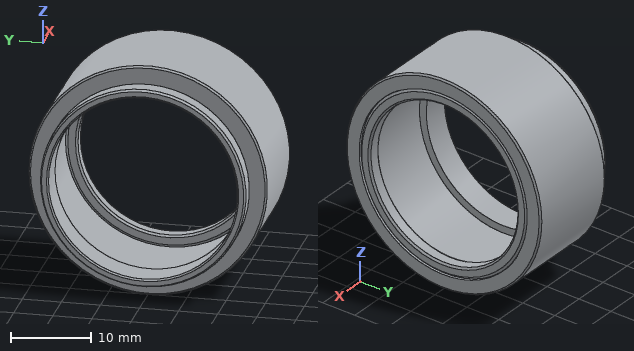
import cadquery as cq

length = 16.52
body_radius = 15.25
body_chamfer = 0.25
shoulder_x = 3.02

spigot_radius = 13.15
spigot_chamfer_length = 0.4
spigot_chamfer_depth = 0.2
spigot_length = 2.32
groove_radius = 12.68

mouth_radius = 12.07
mouth_chamfer = 0.2
mouth_length = 4.0
bore_radius = 13.15

ring_length = 2.0
ring_inner_radius = 11.5
ring_inner_chamfer = 0.27
ring_outer_chamfer = 0.4


def cylinder(radius, start_x, end_x):
    """Solid cylinder about the X axis between two axial positions."""
    return cq.Workplane("YZ", origin=(start_x, 0, 0)).circle(radius).extrude(end_x - start_x)


def make_housing():
    """Tube with a male spigot, a relief groove and a stepped through bore."""
    body = cylinder(body_radius, shoulder_x, length).faces("|X").edges().chamfer(body_chamfer)
    spigot_profile = [
        (0, 0),
        (0, spigot_radius - spigot_chamfer_depth),
        (spigot_chamfer_length, spigot_radius),
        (spigot_length, spigot_radius),
        (spigot_length, 0),
    ]
    spigot = cq.Workplane("XY").polyline(spigot_profile).close().revolve(360, (0, 0, 0), (1, 0, 0))
    groove = cylinder(groove_radius, spigot_length, shoulder_x)
    housing = spigot.union(groove).union(body)

    mouth = cylinder(mouth_radius, 0, mouth_length)
    wide_bore = cylinder(bore_radius, mouth_length, length)
    housing = housing.cut(mouth).cut(wide_bore)

    mouth_edge = housing.faces("<X").edges(cq.selectors.RadiusNthSelector(0))
    return mouth_edge.chamfer(mouth_chamfer)


def make_retaining_ring():
    """Plain ring fitted to the wide bore, chamfered inside and outside on both faces."""
    ring_start_x = length - ring_length
    ring = cylinder(bore_radius, ring_start_x, length).faces("|X").edges().chamfer(ring_outer_chamfer)
    ring = ring.cut(cylinder(ring_inner_radius, ring_start_x, length))
    bore_edges = ring.faces("<X or >X").edges(cq.selectors.RadiusNthSelector(0))
    return bore_edges.chamfer(ring_inner_chamfer)


housing = make_housing()
retaining_ring = make_retaining_ring()

result = cq.Compound.makeCompound([housing.val(), retaining_ring.val()])